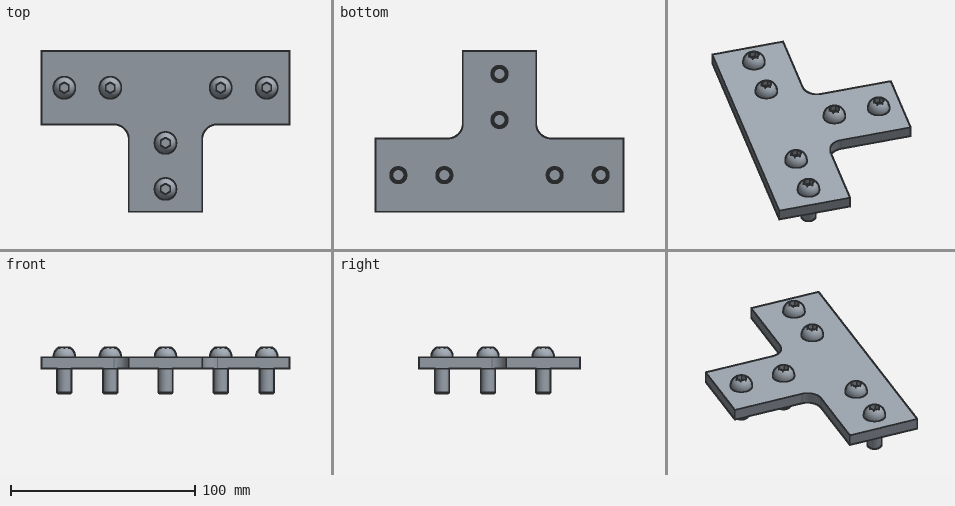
import cadquery as cq

PLATE_LENGTH = 135.0
PLATE_DEPTH = 87.5
PLATE_THICKNESS = 6.35
ARM_WIDTH = 40.0
INNER_CORNER_RADIUS = 8.0

HOLE_DIAMETER = 9.0
HOLE_PITCH = 25.0
END_MARGIN = 12.5

SHANK_DIAMETER = 8.0
SHANK_LENGTH = 20.0
TIP_CHAMFER = 0.8
HEAD_RADIUS = 6.0
SOCKET_ACROSS_FLATS = 5.0
SOCKET_FLOOR_HEIGHT = 2.0


def screw_positions():
    crossbar_y = -ARM_WIDTH / 2
    outer_x = PLATE_LENGTH / 2 - END_MARGIN
    inner_x = outer_x - HOLE_PITCH
    crossbar = [(x, crossbar_y) for x in (-outer_x, -inner_x, inner_x, outer_x)]

    stem_end_y = END_MARGIN - PLATE_DEPTH
    stem = [(0, stem_end_y), (0, stem_end_y + HOLE_PITCH)]
    return crossbar + stem


def make_plate(positions):
    half_length = PLATE_LENGTH / 2
    half_stem = ARM_WIDTH / 2

    plate = (
        cq.Workplane("XY")
        .moveTo(-half_length, 0)
        .lineTo(half_length, 0)
        .lineTo(half_length, -ARM_WIDTH)
        .lineTo(half_stem, -ARM_WIDTH)
        .lineTo(half_stem, -PLATE_DEPTH)
        .lineTo(-half_stem, -PLATE_DEPTH)
        .lineTo(-half_stem, -ARM_WIDTH)
        .lineTo(-half_length, -ARM_WIDTH)
        .close()
        .extrude(PLATE_THICKNESS)
    )

    inner_corners = cq.selectors.BoxSelector(
        (-half_stem - INNER_CORNER_RADIUS, -ARM_WIDTH - INNER_CORNER_RADIUS, 0),
        (half_stem + INNER_CORNER_RADIUS, -ARM_WIDTH + INNER_CORNER_RADIUS, PLATE_THICKNESS),
    )
    plate = plate.edges("|Z").edges(inner_corners).fillet(INNER_CORNER_RADIUS)

    holes = (
        cq.Workplane("XY")
        .pushPoints(positions)
        .circle(HOLE_DIAMETER / 2)
        .extrude(PLATE_THICKNESS)
    )
    return plate.cut(holes)


def make_screw():
    """One screw on the Z axis, with the underside of its head at Z = 0."""
    shank = (
        cq.Workplane("XY")
        .circle(SHANK_DIAMETER / 2)
        .extrude(-SHANK_LENGTH)
        .faces("<Z")
        .chamfer(TIP_CHAMFER)
    )

    head = (
        cq.Workplane("XZ")
        .moveTo(HEAD_RADIUS, 0)
        .radiusArc((0, HEAD_RADIUS), -HEAD_RADIUS)
        .lineTo(0, 0)
        .close()
        .revolve(360, (0, 0), (0, 1))
    )

    socket = (
        cq.Workplane("XY")
        .workplane(offset=SOCKET_FLOOR_HEIGHT)
        .polygon(6, SOCKET_ACROSS_FLATS, circumscribed=True)
        .extrude(HEAD_RADIUS)
    )
    return head.union(shank).cut(socket)


positions = screw_positions()
plate = make_plate(positions)

screw = make_screw()
screws = []
for x, y in positions:
    placed_screw = screw.translate((x, y, PLATE_THICKNESS))
    screws.append(placed_screw.val())

result = cq.Compound.makeCompound([plate.val(), *screws])